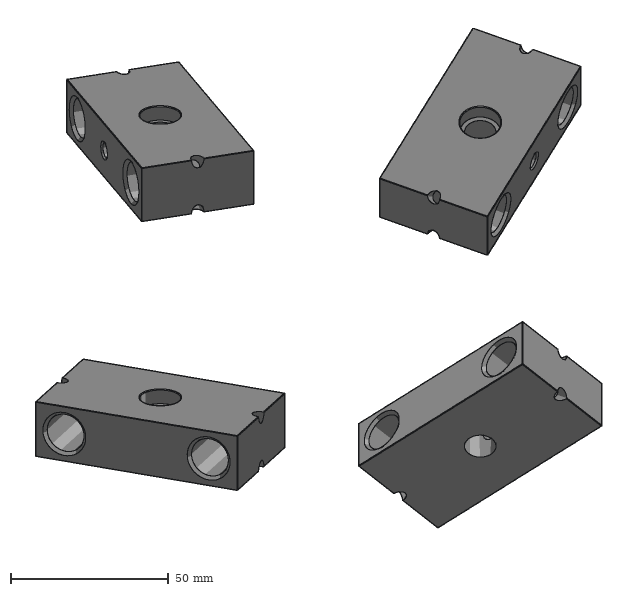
import cadquery as cq
import math

LENGTH = 70.0
WIDTH = 38.0
HEIGHT = 19.0
EDGE_CHAMFER = 0.195

SIDE_BORE_DIAMETER = 12.75
SIDE_BORE_SPACING = 50.0
SIDE_BORE_CHAMFER = 1.05

CROSS_HOLE_DIAMETER = 5.05
CROSS_HOLE_CHAMFER = 0.55

CENTRE_BORE_DIAMETER = 10.0
COUNTERBORE_DIAMETER = 13.0
COUNTERBORE_DEPTH = 5.0
COUNTERBORE_CHAMFER = 0.3

EDGE_HOLE_DIAMETER = 4.2
EDGE_HOLE_DEPTH = 6.0


def make_block():
    return cq.Workplane("XY").box(LENGTH, WIDTH, HEIGHT).edges().chamfer(EDGE_CHAMFER)


def mouth_chamfer(face_point, inward, diameter, size):
    """Cone that breaks the rim of a round hole by a 45 degree chamfer."""
    radius = diameter / 2
    return cq.Workplane(cq.Solid.makeCone(radius + size, radius, size, face_point, inward))


def cut_side_bores(body):
    for side in (-1, 1):
        x = side * SIDE_BORE_SPACING / 2
        start = cq.Vector(x, -WIDTH / 2, 0)
        bore = cq.Solid.makeCylinder(SIDE_BORE_DIAMETER / 2, WIDTH, start, cq.Vector(0, 1, 0))
        body = body.cut(cq.Workplane(bore))
        for face in (-1, 1):
            rim = cq.Vector(x, face * WIDTH / 2, 0)
            inward = cq.Vector(0, -face, 0)
            body = body.cut(mouth_chamfer(rim, inward, SIDE_BORE_DIAMETER, SIDE_BORE_CHAMFER))
    return body


def cut_cross_hole(body):
    start = cq.Vector(0, -WIDTH / 2, 0)
    inward = cq.Vector(0, 1, 0)
    hole = cq.Solid.makeCylinder(CROSS_HOLE_DIAMETER / 2, WIDTH / 2, start, inward)
    body = body.cut(cq.Workplane(hole))
    return body.cut(mouth_chamfer(start, inward, CROSS_HOLE_DIAMETER, CROSS_HOLE_CHAMFER))


def cut_centre_bore(body):
    top = cq.Vector(0, 0, HEIGHT / 2)
    down = cq.Vector(0, 0, -1)
    bore = cq.Solid.makeCylinder(CENTRE_BORE_DIAMETER / 2, HEIGHT, top, down)
    counterbore = cq.Solid.makeCylinder(COUNTERBORE_DIAMETER / 2, COUNTERBORE_DEPTH, top, down)
    body = body.cut(cq.Workplane(bore)).cut(cq.Workplane(counterbore))
    return body.cut(mouth_chamfer(top, down, COUNTERBORE_DIAMETER, COUNTERBORE_CHAMFER))


def cut_edge_holes(body):
    lead_in = EDGE_HOLE_DIAMETER
    offset = lead_in / math.sqrt(2)
    for end in (-1, 1):
        for level in (-1, 1):
            start = cq.Vector(end * (LENGTH / 2 + offset), 0, level * (HEIGHT / 2 + offset))
            inward = cq.Vector(-end, 0, -level)
            drill_length = lead_in + EDGE_HOLE_DEPTH
            hole = cq.Solid.makeCylinder(EDGE_HOLE_DIAMETER / 2, drill_length, start, inward)
            body = body.cut(cq.Workplane(hole))
    return body


result = make_block()
result = cut_side_bores(result)
result = cut_cross_hole(result)
result = cut_centre_bore(result)
result = cut_edge_holes(result)